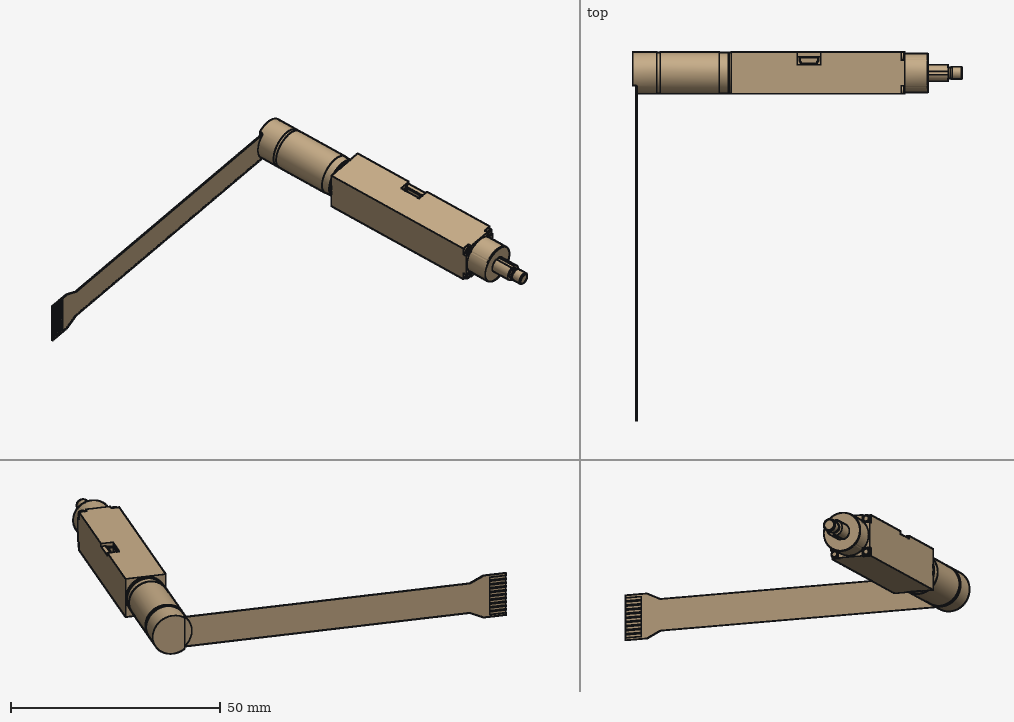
import cadquery as cq


motor_diameter = 10.0
step_diameter = 9.9
groove_diameter = 9.7
cap_end = 5.8
can_start = 6.6
can_end = 20.7
groove_start = 22.8
groove_end = 23.1

body_start = 23.6
body_end = 65.0
body_width = 10.0

corner_notch = 1.9
notch_depth = 0.9
screw_offset = 4.05
screw_head_diameter = 1.85
screw_head_chamfer = 0.3
screw_clearance_diameter = 2.1

nose_end = 70.6
nose_diameter = 9.4
nose_chamfer_length = 0.3
nose_chamfer_depth = 0.1

shaft_diameter = 4.0
shaft_end = 75.3
neck_diameter = 2.6
neck_end = 75.9
tip_diameter = 3.0
tip_start = 76.3
tip_end = 78.8
tip_chamfer = 0.3
ball_groove_diameter = 1.0
ball_groove_depth = 0.3

cable_thickness = 0.3
cable_front = 1.1
cable_width = 7.7
cable_root_y = -3.0
overall_length_y = 88
cable_end_y = motor_diameter / 2 - overall_length_y
cable_flare_length = 3.4
plug_length = 5.5
plug_width = 11.0
contact_count = 10
contact_width = 0.74
contact_gap = 0.3
contact_length = 4.05
contact_depth = 0.1

socket_start = 39.3
socket_length = 5.5
socket_inner_y = 2.0
ledge_inner_y = 3.9
ledge_depth = 0.7
well_depth = 1.1
shell_gap = 0.1
shell_rear_length = 4.6
shell_front_length = 3.7
shell_wall = 0.2
shell_opening_depth = 3.5


def rod(diameter, start, end, y=0, z=0):
    """Cylinder along X between two X positions."""
    plane = cq.Workplane("YZ", origin=(start, y, z))
    return plane.circle(diameter / 2).extrude(end - start)


def block(x_range, y_range, z_range):
    """Box given by its limits along each axis."""
    (x0, x1), (y0, y1), (z0, z1) = x_range, y_range, z_range
    return cq.Workplane("XY").box(x1 - x0, y1 - y0, z1 - z0, centered=False).translate((x0, y0, z0))


def make_motor():
    motor = rod(motor_diameter, 0, cap_end)
    motor = motor.union(rod(step_diameter, cap_end, can_start))
    motor = motor.union(rod(motor_diameter, can_start, can_end))
    motor = motor.union(rod(step_diameter, can_end, groove_start))
    motor = motor.union(rod(groove_diameter, groove_start, groove_end))
    motor = motor.union(rod(step_diameter, groove_end, body_start))
    radius = motor_diameter / 2
    step = block((0, cable_front - cable_thickness), (-radius, cable_root_y), (-radius, radius))
    return motor.cut(step)


def make_cable():
    half_cable = cable_width / 2
    half_plug = plug_width / 2
    plug_y = cable_end_y + plug_length
    flare_y = plug_y + cable_flare_length
    outline = [
        (cable_root_y, half_cable),
        (flare_y, half_cable),
        (plug_y, half_plug),
        (cable_end_y, half_plug),
        (cable_end_y, -half_plug),
        (plug_y, -half_plug),
        (flare_y, -half_cable),
        (cable_root_y, -half_cable),
    ]
    cable_rear = cable_front - cable_thickness
    cable = cq.Workplane("YZ", origin=(cable_rear, 0, 0)).polyline(outline).close().extrude(cable_thickness)
    contact_y = cable_end_y + contact_length / 2
    contact_pitch = contact_width + contact_gap
    contacts = (
        cq.Workplane("YZ", origin=(cable_rear, contact_y, 0))
        .rarray(0.9, contact_pitch, 1, contact_count)
        .rect(contact_length, contact_width)
        .extrude(contact_depth)
    )
    return cable.cut(contacts)


def cut_socket(body):
    top = body_width / 2
    side = body_width / 2
    x_range = (socket_start, socket_start + socket_length)
    body = body.cut(block(x_range, (ledge_inner_y, side), (top - ledge_depth, top)))
    body = body.cut(block(x_range, (socket_inner_y, ledge_inner_y), (top - well_depth, top)))

    rear_y = ledge_inner_y - shell_gap
    front_y = socket_inner_y + shell_gap
    middle_y = (rear_y + front_y) / 2
    outline = [
        (-shell_rear_length / 2, rear_y),
        (shell_rear_length / 2, rear_y),
        (shell_rear_length / 2, middle_y),
        (shell_front_length / 2, front_y),
        (-shell_front_length / 2, front_y),
        (-shell_rear_length / 2, middle_y),
    ]
    middle_x = socket_start + socket_length / 2
    shell_plane = cq.Workplane("XY", origin=(middle_x, 0, top - ledge_depth))
    shell = shell_plane.polyline(outline).close().extrude(ledge_depth - well_depth)
    opening = shell_plane.polyline(outline).close().offset2D(-shell_wall).extrude(-shell_opening_depth)
    return body.union(shell).cut(opening)


def make_body():
    half = body_width / 2
    body = block((body_start, body_end), (-half, half), (-half, half))
    return cut_socket(body)


def make_nose():
    nose = rod(nose_diameter, body_end, nose_end)
    return nose.faces(">X").chamfer(nose_chamfer_length, nose_chamfer_depth)


def add_corner_screws(housing):
    """Notch each front corner, clear the nose beside it and seat a screw head in it."""
    half = body_width / 2
    notch_start = body_end - notch_depth
    notch_center = half - corner_notch / 2
    for y_side in (-1, 1):
        for z_side in (-1, 1):
            notch = (
                cq.Workplane("YZ", origin=(notch_start, y_side * notch_center, z_side * notch_center))
                .rect(corner_notch, corner_notch)
                .extrude(notch_depth)
            )
            y = y_side * screw_offset
            z = z_side * screw_offset
            clearance = rod(screw_clearance_diameter, body_end, nose_end, y, z)
            head = rod(screw_head_diameter, notch_start, body_end, y, z)
            head = head.faces(">X").chamfer(screw_head_chamfer)
            housing = housing.cut(notch).cut(clearance).union(head)
    return housing


def make_shaft():
    shaft = rod(shaft_diameter, nose_end, shaft_end)
    groove_z = shaft_diameter / 2 + ball_groove_diameter / 2 - ball_groove_depth
    for z_side in (-1, 1):
        shaft = shaft.cut(rod(ball_groove_diameter, nose_end, shaft_end, 0, z_side * groove_z))

    neck_radius = neck_diameter / 2
    tip_radius = tip_diameter / 2
    profile = [
        (shaft_end, 0),
        (shaft_end, neck_radius),
        (neck_end, neck_radius),
        (tip_start, tip_radius),
        (tip_end - tip_chamfer, tip_radius),
        (tip_end, tip_radius - tip_chamfer),
        (tip_end, 0),
    ]
    tip = cq.Workplane("XY").polyline(profile).close().revolve(360, (0, 0, 0), (1, 0, 0))
    return shaft.union(tip)


housing = add_corner_screws(make_body().union(make_nose()))
result = make_motor().union(make_cable()).union(housing).union(make_shaft())